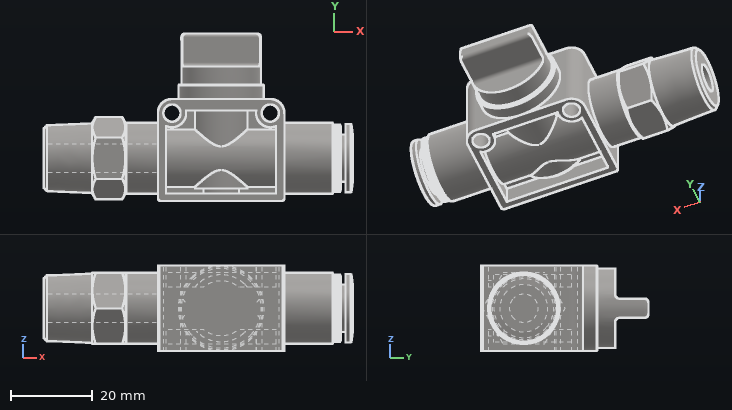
import cadquery as cq
import math


INLET_X = -43.45
NUT_X = -31.6
NUT_END_X = -23.4
PIPE_X = -23.2
LENGTH = 75.7
OUTLET_X = INLET_X + LENGTH

TOTAL_WIDTH = 41.0
BODY_WIDTH = 31.0
BODY_DEPTH = 21.0
BODY_FRONT_Y = -BODY_DEPTH / 2
BODY_BACK_Y = 14.5
FRONT_EDGE_CHAMFER = 0.45

HOLE_DIAMETER = 4.2
CORNER_RADIUS = 3.5
HOLE_BOSS_DIAMETER = 2 * CORNER_RADIUS
HOLE_X = BODY_WIDTH / 2 - CORNER_RADIUS
HOLE_Y = BODY_BACK_Y - CORNER_RADIUS

SIDE_WALL = 2.05
FRONT_WALL = 1.9
BACK_WALL = 2.8
POCKET_FLOOR_Z = 5.15

PIPE_DIAMETER = 17.5
SEAT_DIAMETER = 16.5
SEAT_FRONT_Y = -7.4
SEAT_PLUG_DIAMETER = 13.5

BORE_DIAMETER = 7.0
BORE_END_X = -BODY_WIDTH / 2
THREAD_TIP_DIAMETER = 16.2
THREAD_ROOT_DIAMETER = 17.1
THREAD_CHAMFER = 0.8
NUT_FLATS = PIPE_DIAMETER
NUT_CORNERS = NUT_FLATS / math.cos(math.pi / 6)
NUT_CHAMFER_ANGLE = math.radians(30)
NUT_FACE_RADIUS = 8.6

PIPE_END_X = 27.5
RING_COUNT = 2
RING_RADIUS = 8.25
RING_PITCH = 0.9
RING_LENGTH = 0.7
BEVEL_LENGTH = 0.2
BEVEL_DROP = 0.5
CORE_RADIUS = RING_RADIUS - BEVEL_DROP
CORE_END_X = PIPE_END_X + RING_COUNT * RING_PITCH
SLEEVE_RADIUS = 5.8
FLANGE_RADIUS = 8.4
FLANGE_X = 30.4
FLANGE_EDGE_X = 31.7
FLANGE_EDGE_BEVEL = 0.2

COLLAR_DIAMETER = BODY_DEPTH
COLLAR_END_Y = 18.1
COLLAR_CHAMFER = 0.3
KNOB_DIAMETER = 19.5
KNOB_END_Y = 22.4
BLADE_END_Y = BODY_FRONT_Y + TOTAL_WIDTH
BLADE_THICKNESS = 4.8
BLADE_ROOT_RADIUS = 1.0
BLADE_END_RADIUS = 1.0


def x_cylinder(diameter, start, end):
    return cq.Workplane("YZ").workplane(offset=start).circle(diameter / 2).extrude(end - start)


def y_cylinder(diameter, start, end):
    return cq.Workplane("XZ").workplane(offset=-start).circle(diameter / 2).extrude(start - end)


def revolve_about_x(points):
    return cq.Workplane("XY").polyline(points).close().revolve(360, (0, 0, 0), (1, 0, 0))


def make_body():
    depth_center = (BODY_FRONT_Y + BODY_BACK_Y) / 2
    body = (
        cq.Workplane("XY")
        .center(0, depth_center)
        .box(BODY_WIDTH, BODY_BACK_Y - BODY_FRONT_Y, BODY_DEPTH)
    )
    body = body.edges("|Z and >Y").fillet(CORNER_RADIUS)
    return body.edges("|Z and <Y").chamfer(FRONT_EDGE_CHAMFER)


def hole_columns(diameter):
    return (
        cq.Workplane("XY", origin=(0, 0, -BODY_DEPTH / 2))
        .pushPoints([(-HOLE_X, HOLE_Y), (HOLE_X, HOLE_Y)])
        .circle(diameter / 2)
        .extrude(BODY_DEPTH)
    )


def make_pockets():
    width = BODY_WIDTH - 2 * SIDE_WALL
    front = BODY_FRONT_Y + FRONT_WALL
    back = BODY_BACK_Y - BACK_WALL
    depth = BODY_DEPTH / 2 - POCKET_FLOOR_Z
    pocket = (
        cq.Workplane("XY", origin=(0, (front + back) / 2, POCKET_FLOOR_Z))
        .rect(width, back - front)
        .extrude(depth)
    )
    pockets = pocket.union(pocket.mirror("XY"))
    return pockets.cut(hole_columns(HOLE_BOSS_DIAMETER))


def make_valve_seat():
    seat = y_cylinder(SEAT_DIAMETER, SEAT_FRONT_Y, BODY_BACK_Y - BACK_WALL)
    plug = y_cylinder(SEAT_PLUG_DIAMETER, BODY_FRONT_Y + FRONT_WALL, SEAT_FRONT_Y)
    return seat.union(plug)


def make_thread():
    tip_radius = THREAD_TIP_DIAMETER / 2
    return revolve_about_x([
        (INLET_X, 0),
        (INLET_X, tip_radius - THREAD_CHAMFER),
        (INLET_X + THREAD_CHAMFER, tip_radius),
        (NUT_X, THREAD_ROOT_DIAMETER / 2),
        (NUT_X, 0),
    ])


def make_nut():
    prism = (
        cq.Workplane("YZ")
        .workplane(offset=NUT_X)
        .polygon(6, NUT_CORNERS)
        .extrude(NUT_END_X - NUT_X)
    )
    corner_radius = NUT_CORNERS / 2
    bevel = (corner_radius - NUT_FACE_RADIUS) * math.tan(NUT_CHAMFER_ANGLE)
    envelope = revolve_about_x([
        (NUT_X, 0),
        (NUT_X, NUT_FACE_RADIUS),
        (NUT_X + bevel, corner_radius),
        (NUT_END_X - bevel, corner_radius),
        (NUT_END_X, NUT_FACE_RADIUS),
        (NUT_END_X, 0),
    ])
    neck = x_cylinder(2 * NUT_FACE_RADIUS, NUT_END_X, PIPE_X)
    return prism.intersect(envelope).union(neck)


def beveled_cylinder(radius, start, end):
    """Cylinder along X whose +X end tapers steeply."""
    return revolve_about_x([
        (start, 0),
        (start, radius),
        (end - BEVEL_LENGTH, radius),
        (end, radius - BEVEL_DROP),
        (end, 0),
    ])


def make_outlet():
    outlet = x_cylinder(2 * CORE_RADIUS, PIPE_END_X, CORE_END_X)
    for index in range(1, RING_COUNT + 1):
        end = PIPE_END_X + index * RING_PITCH
        outlet = outlet.union(beveled_cylinder(RING_RADIUS, end - RING_LENGTH, end))
    outlet = outlet.union(x_cylinder(2 * SLEEVE_RADIUS, CORE_END_X, FLANGE_X))
    flange = revolve_about_x([
        (FLANGE_X, 0),
        (FLANGE_X, FLANGE_RADIUS),
        (FLANGE_EDGE_X, FLANGE_RADIUS),
        (FLANGE_EDGE_X + FLANGE_EDGE_BEVEL, FLANGE_RADIUS - FLANGE_EDGE_BEVEL),
        (OUTLET_X, SLEEVE_RADIUS),
        (OUTLET_X, 0),
    ])
    return outlet.union(flange)


def make_handle():
    collar = y_cylinder(COLLAR_DIAMETER, BODY_BACK_Y, COLLAR_END_Y)
    collar = collar.faces(">Y").chamfer(COLLAR_CHAMFER)
    half_blade = BLADE_THICKNESS / 2
    half_knob = KNOB_DIAMETER / 2
    root_end_y = KNOB_END_Y + BLADE_ROOT_RADIUS
    root_z = half_blade + BLADE_ROOT_RADIUS
    arc_offset = BLADE_ROOT_RADIUS * (1 - math.sqrt(0.5))
    side_cut = (
        cq.Workplane("YZ", origin=(-half_knob, 0, 0))
        .moveTo(BLADE_END_Y, half_blade)
        .lineTo(root_end_y, half_blade)
        .threePointArc((KNOB_END_Y + arc_offset, half_blade + arc_offset), (KNOB_END_Y, root_z))
        .lineTo(KNOB_END_Y, half_knob)
        .lineTo(BLADE_END_Y, half_knob)
        .close()
        .extrude(KNOB_DIAMETER)
    )
    knob = y_cylinder(KNOB_DIAMETER, COLLAR_END_Y, BLADE_END_Y)
    knob = knob.cut(side_cut).cut(side_cut.mirror("XY"))
    knob = knob.faces(">Y").edges().fillet(BLADE_END_RADIUS)
    return collar.union(knob)


result = (
    make_body()
    .cut(make_pockets())
    .union(make_valve_seat())
    .union(beveled_cylinder(PIPE_DIAMETER / 2, PIPE_X, PIPE_END_X))
    .union(make_nut())
    .union(make_thread())
    .union(make_outlet())
    .union(make_handle())
    .cut(hole_columns(HOLE_DIAMETER))
    .cut(x_cylinder(BORE_DIAMETER, INLET_X, BORE_END_X))
)